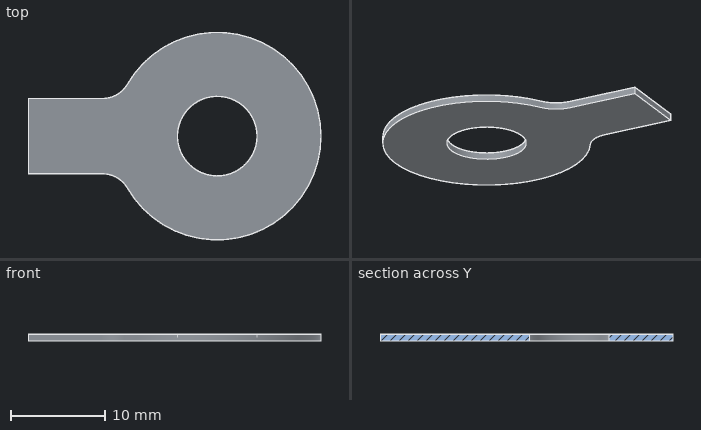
import cadquery as cq

thickness = 0.75
outer_diameter = 22.0
hole_diameter = 8.4
tab_width = 8.0
tab_reach = 20.0
neck_radius = 3.0


def washer_disc():
    """Round body, centred on the origin with its underside at Z = 0."""
    return cq.Workplane("XY").circle(outer_diameter / 2).extrude(thickness)


def tab():
    """Straight tab running from the disc centre toward -X."""
    return (
        cq.Workplane("XY")
        .center(-tab_reach / 2, 0)
        .rect(tab_reach, tab_width)
        .extrude(thickness)
    )


def blend_neck(body):
    """Round the two inside corners where the tab meets the disc."""
    half_width = tab_width / 2
    corner_x = -((outer_diameter / 2) ** 2 - half_width**2) ** 0.5
    for side in (-1, 1):
        corner = (corner_x, side * half_width, thickness / 2)
        body = body.edges(cq.selectors.NearestToPointSelector(corner)).fillet(neck_radius)
    return body


def bolt_hole():
    """Cutter for the central through hole."""
    return cq.Workplane("XY").circle(hole_diameter / 2).extrude(thickness)


result = blend_neck(washer_disc().union(tab())).cut(bolt_hole())